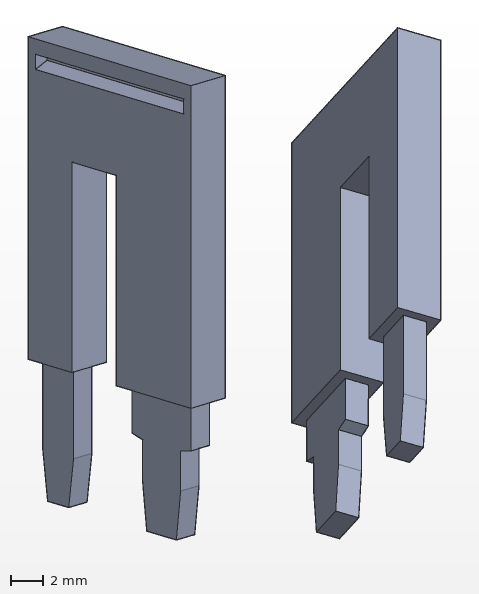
import cadquery as cq
import math


total_width = 14.25
total_height = 29.93
body_thickness = 3.0

prong_length = 9.1
body_height = total_height - prong_length
bridge_height = 7.25
left_leg_width = 3.85
leg_gap = 3.85
right_leg_left = left_leg_width + leg_gap
right_leg_width = total_width - right_leg_left

prong_thickness = 1.6
taper_height = 3.25
left_prong_width = 2.7
left_tip_width = 1.85
shoulder_width = 5.2
shoulder_length = 3.05
shoulder_slope_drop = 0.22
right_prong_width = 3.35
right_tip_width = 2.6
prong_embed = 1.0

groove_side_margin = 0.65
groove_top_margin = 1.0
groove_height = 0.97
groove_floor_depth = 1.0
groove_floor_angle = 20.0
groove_ceiling_depth = 0.82
groove_back_radius = 0.57


def make_body():
    """Plate with a slot from below that leaves a bridge over two legs."""
    body = cq.Workplane("XY").box(
        total_width, body_thickness, body_height, centered=(False, True, False)
    )
    gap = cq.Workplane("XY").box(
        leg_gap, body_thickness, body_height - bridge_height, centered=(False, True, False)
    )
    body = body.cut(gap.translate((left_leg_width, 0, 0)))
    return body.translate((0, 0, prong_length))


def make_prong(center_x, right_side):
    """Flat prong, mirrored about center_x; right_side lists (half width, z) from tip to root."""
    right_points = [(center_x + half_width, z) for half_width, z in right_side]
    left_points = [(center_x - half_width, z) for half_width, z in reversed(right_side)]
    return (
        cq.Workplane("XZ")
        .polyline(right_points + left_points)
        .close()
        .extrude(prong_thickness / 2, both=True)
    )


def make_left_prong():
    """Straight narrow prong with a tapered tip."""
    root_z = prong_length + prong_embed
    right_side = [
        (left_tip_width / 2, 0),
        (left_prong_width / 2, taper_height),
        (left_prong_width / 2, root_z),
    ]
    return make_prong(left_leg_width / 2, right_side)


def make_right_prong():
    """Prong with a wide shoulder below the leg and a tapered tip."""
    root_z = prong_length + prong_embed
    shoulder_z = prong_length - shoulder_length
    right_side = [
        (right_tip_width / 2, 0),
        (right_prong_width / 2, taper_height),
        (right_prong_width / 2, shoulder_z - shoulder_slope_drop),
        (shoulder_width / 2, shoulder_z),
        (shoulder_width / 2, root_z),
    ]
    return make_prong(right_leg_left + right_leg_width / 2, right_side)


def make_groove():
    """Cutter for the grip groove: flat ceiling, rounded back and a floor rising inwards."""
    front_y = -body_thickness / 2
    top_z = total_height - groove_top_margin
    bottom_z = top_z - groove_height
    floor_rise = groove_floor_depth * math.tan(math.radians(groove_floor_angle))
    floor_end = (front_y + groove_floor_depth, bottom_z + floor_rise)
    ceiling_end = (front_y + groove_ceiling_depth, top_z)
    section = (
        cq.Workplane("YZ")
        .moveTo(front_y, bottom_z)
        .lineTo(*floor_end)
        .radiusArc(ceiling_end, -groove_back_radius)
        .lineTo(front_y, top_z)
        .close()
    )
    groove_length = total_width - 2 * groove_side_margin
    return section.extrude(groove_length).translate((groove_side_margin, 0, 0))


result = make_body().union(make_left_prong()).union(make_right_prong()).cut(make_groove())